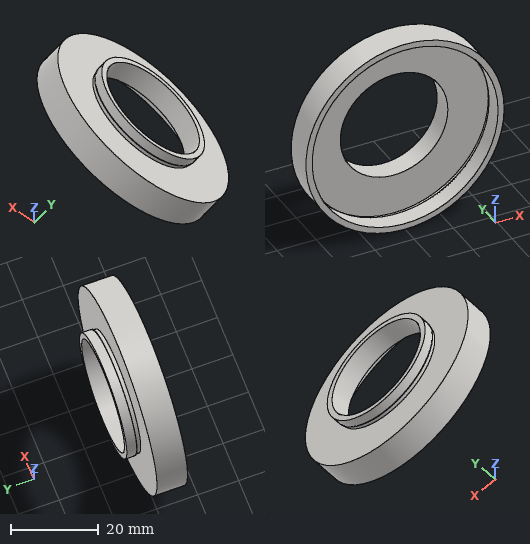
import cadquery as cq

total_length = 11.0
flange_diameter = 50.8
flange_length = 7.5
bore_diameter = 27.48

boss_diameter = 30.5
neck_diameter = 30.0
neck_length = 1.0

recess_diameter = 47.6
recess_depth = 5.5
undercut_width = 1.0
undercut_radial_depth = 0.3

boss_start = flange_length + neck_length
boss_length = total_length - boss_start
undercut_start = recess_depth - undercut_width
undercut_diameter = recess_diameter + 2 * undercut_radial_depth


def axial_cylinder(diameter, start, length):
    """Cylinder on the Y axis reaching from y = start to y = start + length."""
    return cq.Workplane("XZ", origin=(0, start, 0)).circle(diameter / 2).extrude(-length)


flange = axial_cylinder(flange_diameter, 0, flange_length)
neck = axial_cylinder(neck_diameter, flange_length, neck_length)
boss = axial_cylinder(boss_diameter, boss_start, boss_length)
body = flange.union(neck).union(boss)

recess = axial_cylinder(recess_diameter, 0, recess_depth)
undercut = axial_cylinder(undercut_diameter, undercut_start, undercut_width)
bore = axial_cylinder(bore_diameter, 0, total_length)

result = body.cut(recess).cut(undercut).cut(bore)